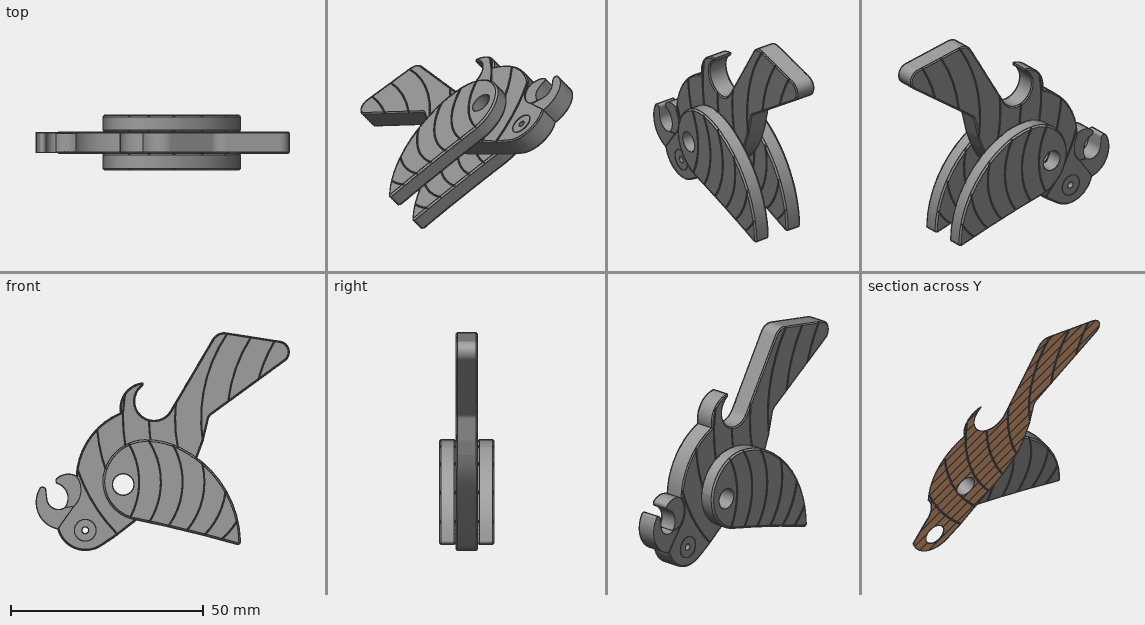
import cadquery as cq

lever_thickness = 5.6
wing_thickness = 4.3
upper_beak_inset = 0.4
lower_beak_inset = 0.2

pivot_radius = 2.75
eye_center = (-9.85, -11.9)
eye_radius = 2.8
eye_recess_depth = 0.1
eye_hole_radius = 0.85

lever_chamfer = 0.3
wing_chamfer = 0.45

groove_width = 0.25
groove_depth = 0.2
wing_groove_count = 6
wing_groove_step = 5.65
wing_groove_radius = 19.6
wing_groove_first_x = -15.5
wing_groove_center_z = 0.65
lever_groove_count = 7
lever_groove_step = 6.75
lever_groove_radius = 39.35
lever_groove_first_x = 32.55
lever_groove_center_z = 17.05
neck_groove_radius = 44.6
neck_groove_center = (30.4, 18.3)

tail_inner_radius = 3.5
tail_tip_radius = 2.8
rump_radius = 2.0
wing_tip_radius = 0.8

crown = (-12.2, 2.2)
face_middle = (-10.95, -1.6)
beak_root = (-12.8, -5.65)
mouth_corner = (-15.2, -6.05)
throat = (-17.0, -11.55)
tail_inner_corner = (24.4, 39.7)
tail_tip_corner = (47.45, 36.1)
rump_corner = (22.25, 17.7)
belly_points = [(1.7, -10.5), (-1.6, -13.1), (-5.8, -15.95)]
belly_start_direction = (-0.36, -0.93)
chin_direction = (-0.84, -0.54)
wing_heel = (2.75, -9.05)
wing_tip = (30.45, -15.8)

beak_blank_bottom = (-19.7, -9.2)
beak_blank_top = (-14.45, -1.3)
beak_clearance_x = -26.25


def profile():
    """Start a sketch whose local axes are global X and Z."""
    return cq.Workplane("XZ")


def disc(center, radius, thickness):
    """Cylinder along Y, centred on Y = 0."""
    return profile().center(*center).circle(radius).extrude(thickness / 2, both=True)


def arc_grooves(center, radius, thickness):
    """Cutter for one circular groove in both faces of a plate centred on Y = 0."""
    ring = (
        profile()
        .center(*center)
        .circle(radius + groove_width / 2)
        .circle(radius - groove_width / 2)
        .extrude(thickness / 2, both=True)
    )
    core = disc(center, radius + groove_width, thickness - 2 * groove_depth)
    return ring.cut(core)


def round_corner(plate, corner, radius):
    """Round the edge along Y that stands at an outline corner."""
    x, z = corner
    near_corner = cq.selectors.BoxSelector((x - 0.65, -0.65, z - 0.65), (x + 0.65, 0.65, z + 0.65))
    return plate.edges("|Y").edges(near_corner).fillet(radius)


def make_beak_clearance():
    """Space in front of the face, ending on the curved joint with the beak."""
    return (
        profile()
        .moveTo(*throat)
        .lineTo(*beak_root)
        .threePointArc(face_middle, crown)
        .lineTo(beak_clearance_x, crown[1])
        .lineTo(beak_clearance_x, throat[1])
        .close()
        .extrude(lever_thickness, both=True)
    )


def make_lever_plate():
    plate = (
        profile()
        .moveTo(*crown)
        .threePointArc((-7.95, 13.2), (-0.7, 18.6))
        .threePointArc((0.9, 24.3), (5.2, 26.4))
        .lineTo(5.2, 25.7)
        .threePointArc((3.3, 19.95), (12.3, 19.1))
        .lineTo(*tail_inner_corner)
        .lineTo(*tail_tip_corner)
        .lineTo(*rump_corner)
        .lineTo(20.7, 11.35)
        .lineTo(19.35, 7.6)
        .spline(belly_points, [belly_start_direction, chin_direction], includeCurrent=True)
        .tangentArcPoint(throat, relative=False)
        .lineTo(*beak_blank_bottom)
        .lineTo(*beak_blank_top)
        .close()
        .extrude(lever_thickness / 2, both=True)
    )
    plate = round_corner(plate, tail_inner_corner, tail_inner_radius)
    plate = round_corner(plate, tail_tip_corner, tail_tip_radius)
    plate = round_corner(plate, rump_corner, rump_radius)
    plate = plate.faces("|Y").edges().chamfer(lever_chamfer)
    return plate.cut(make_beak_clearance())


def make_lever():
    """Lever plate with its feather grooves and eye."""
    lever = make_lever_plate()
    for index in range(lever_groove_count):
        center = (lever_groove_first_x + index * lever_groove_step, lever_groove_center_z)
        lever = lever.cut(arc_grooves(center, lever_groove_radius, lever_thickness))
    lever = lever.cut(arc_grooves(neck_groove_center, neck_groove_radius, lever_thickness))
    eye_floor = disc(eye_center, eye_radius, lever_thickness - 2 * eye_recess_depth)
    eye_recesses = disc(eye_center, eye_radius, lever_thickness).cut(eye_floor)
    lever = lever.cut(eye_recesses)
    return lever.cut(disc(eye_center, eye_hole_radius, lever_thickness))


def make_wing():
    """Wing plate centred on Y = 0, grooved on both faces."""
    wing = (
        profile()
        .moveTo(*wing_heel)
        .threePointArc((-4.3, -3.4), (-5.2, 2.15))
        .threePointArc((-1.65, 8.65), (5.5, 11.6))
        .threePointArc((10.3, 11.15), (14.7, 9.6))
        .threePointArc((26.1, -0.6), wing_tip)
        .threePointArc((15.75, -11.95), wing_heel)
        .close()
        .extrude(wing_thickness / 2, both=True)
    )
    wing = round_corner(wing, wing_tip, wing_tip_radius)
    wing = wing.faces("|Y").edges().chamfer(wing_chamfer)
    for index in range(wing_groove_count):
        center = (wing_groove_first_x + index * wing_groove_step, wing_groove_center_z)
        wing = wing.cut(arc_grooves(center, wing_groove_radius, wing_thickness))
    return wing


def make_body():
    """Lever with a wing on each side, pierced by the pivot hole."""
    wing_offset = (lever_thickness + wing_thickness) / 2
    body = make_lever()
    for side in (-1, 1):
        body = body.union(make_wing().translate((0, side * wing_offset, 0)))
    return body.cut(disc((0, 0), pivot_radius, lever_thickness + 2 * wing_thickness))


def make_upper_beak():
    return (
        profile()
        .moveTo(*crown)
        .threePointArc((-14.55, 2.7), (-17.25, 1.5))
        .threePointArc((-17.45, 0.85), (-17.05, 0.25))
        .threePointArc((-14.5, -2.35), mouth_corner)
        .lineTo(*beak_root)
        .threePointArc(face_middle, crown)
        .close()
        .extrude(lever_thickness / 2 - upper_beak_inset, both=True)
    )


def make_lower_beak():
    return (
        profile()
        .moveTo(*beak_root)
        .lineTo(*mouth_corner)
        .threePointArc((-18.25, -6.1), (-19.8, -3.6))
        .lineTo(-20.1, -1.45)
        .threePointArc((-20.8, -0.65), (-21.65, -1.1))
        .threePointArc((-21.6, -8.25), throat)
        .close()
        .extrude(lever_thickness / 2 - lower_beak_inset, both=True)
    )


body = make_body()
upper_beak = make_upper_beak()
lower_beak = make_lower_beak()

result = cq.Compound.makeCompound([body.val(), upper_beak.val(), lower_beak.val()])